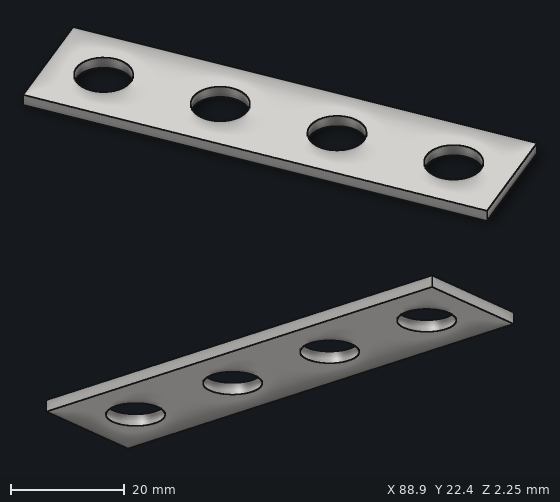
import cadquery as cq

length = 88.9
width = 22.35
thickness = 2.25

hole_diameter = 10.41
hole_count = 4
hole_pitch = width
first_hole_from_left_end = 10.67


def make_strip():
    """Plain rectangular strip centred on the origin."""
    return cq.Workplane("XY").box(length, width, thickness)


def hole_centers():
    """Centres of the evenly spaced holes, starting at the -X end."""
    first_x = -length / 2 + first_hole_from_left_end
    return [(first_x + i * hole_pitch, 0) for i in range(hole_count)]


def drill_holes(strip):
    """Drill the row of holes through the full thickness."""
    return strip.faces(">Z").workplane().pushPoints(hole_centers()).hole(hole_diameter)


result = drill_holes(make_strip())